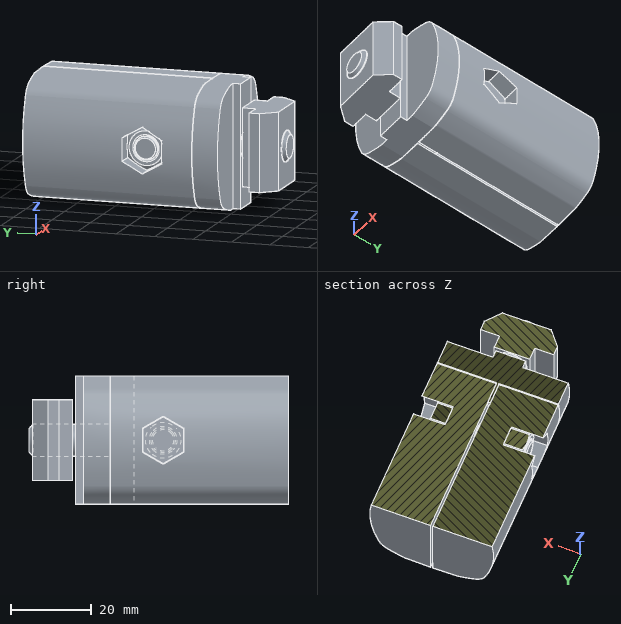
import cadquery as cq
import math

overall_length = 64.2

body_width = 33.0
body_height = 31.8
bulge_radius = 30.0
corner_radius = 5.0

shell_length = 44.0
shell_gap = 0.5
roof_slope_deg = 2.0
roof_blend_radius = 2.2

joint_gap = 0.1
base_thickness = 6.6
key_width = 8.0
key_depth = 2.0
tongue_length = 5.8

slot_nut_gap = 0.7
slot_nut_length = 9.95
slot_nut_height = 20.0
slot_nut_width = 19.6
slot_nut_neck_width = 9.5
slot_nut_neck_depth = 3.4
slot_nut_nose_width = 13.1
slot_nut_nose_depth = 3.9

mount_bolt_diameter = 7.95
mount_bolt_chamfer = 1.0

clamp_y = 13.1
clamp_bolt_diameter = 6.05
clamp_bolt_chamfer = 0.4
clamp_bolt_end = 13.55
pocket_flats = 10.3
pocket_floor = 7.85
hex_flats = 10.0
nut_height = 5.2
nut_face_diameter = 8.8
nut_chamfer_deg = 30.0
nut_countersink_diameter = 6.9
bolt_head_height = 4.0

shell_start = joint_gap
shell_end = shell_start + shell_length
key_face = -base_thickness - key_depth
slot_nut_back = key_face - slot_nut_gap
slot_nut_front = slot_nut_back - slot_nut_length
mount_bolt_tip = shell_end - overall_length


def y_bar(profile, y_start, y_end):
    """Bar along Y; `profile` draws its closed XZ outline on the given workplane."""
    return profile(cq.Workplane("XZ", origin=(0, y_end, 0))).extrude(y_end - y_start)


def envelope(y_start, y_end):
    """Bulged square bar between two Y stations."""
    apex = body_width / 2
    center_offset = bulge_radius - apex
    corner = (math.sqrt(2 * bulge_radius**2 - center_offset**2) - center_offset) / 2

    def outline(plane):
        return (
            plane.moveTo(corner, -corner)
            .threePointArc((apex, 0), (corner, corner))
            .threePointArc((0, apex), (-corner, corner))
            .threePointArc((-apex, 0), (-corner, -corner))
            .threePointArc((0, -apex), (corner, -corner))
            .close()
        )

    bar = y_bar(outline, y_start, y_end).edges("|Y").fillet(corner_radius)
    flats = y_bar(lambda plane: plane.rect(2 * body_width, body_height), y_start, y_end)
    return bar.intersect(flats)


def y_cylinder(diameter, y_start, y_end):
    """Cylinder on the Y axis."""
    return y_bar(lambda plane: plane.circle(diameter / 2), y_start, y_end)


def clamp_plane(x):
    """Workplane facing +X on the clamp bolt axis."""
    return cq.Workplane("YZ", origin=(x, clamp_y, 0))


def hex_prism(across_flats, x_start, x_end):
    """Hexagonal prism along X with corners up and down."""
    half_facet_deg = 30
    across_corners = across_flats / math.cos(math.radians(half_facet_deg))
    prism = clamp_plane(x_start).polygon(6, across_corners).extrude(x_end - x_start)
    return prism.rotate((0, clamp_y, 0), (1, clamp_y, 0), half_facet_deg)


def make_right_shell():
    """Shell half on the +X side."""
    inner_x = shell_gap / 2
    outer_x = body_width
    top = body_height / 2
    outer_top = top - (outer_x - inner_x) * math.tan(math.radians(roof_slope_deg))

    def half_section(plane):
        return plane.polyline(
            [(inner_x, -top), (outer_x, -outer_top), (outer_x, outer_top), (inner_x, top)]
        ).close()

    shell = envelope(shell_start, shell_end).intersect(y_bar(half_section, shell_start, shell_end))
    ridges = shell.edges("|Y").filter(lambda edge: inner_x < edge.Center().x < body_width / 4)
    shell = ridges.fillet(roof_blend_radius)

    bolt_hole = clamp_plane(0).circle(clamp_bolt_diameter / 2).extrude(body_width)
    return shell.cut(bolt_hole).cut(hex_prism(pocket_flats, pocket_floor, body_width))


def make_base():
    """Base plate with the key, the tongue and the mounting bolt hole."""
    base = envelope(-base_thickness, 0)
    key = y_bar(lambda plane: plane.rect(key_width, body_height), key_face, -base_thickness)
    tongue = y_bar(lambda plane: plane.rect(shell_gap, body_height), 0, shell_start + tongue_length)
    bolt_hole = y_cylinder(mount_bolt_diameter, key_face, 0)
    return base.union(key).cut(bolt_hole).union(tongue)


def make_slot_nut():
    """T-shaped slot nut with a tapered nose and the mounting bolt hole."""
    shoulder_y = slot_nut_back - slot_nut_neck_depth
    taper_y = slot_nut_front + slot_nut_nose_depth
    half_outline = [
        (slot_nut_neck_width / 2, slot_nut_back),
        (slot_nut_neck_width / 2, shoulder_y),
        (slot_nut_width / 2, shoulder_y),
        (slot_nut_width / 2, taper_y),
        (slot_nut_nose_width / 2, slot_nut_front),
    ]
    mirrored_outline = [(-x, y) for x, y in reversed(half_outline)]
    block = (
        cq.Workplane("XY")
        .polyline(half_outline + mirrored_outline)
        .close()
        .extrude(slot_nut_height / 2, both=True)
    )
    return block.cut(y_cylinder(mount_bolt_diameter, slot_nut_front, slot_nut_back))


def make_mount_bolt():
    """Bolt along Y from the inner face of the base to its chamfered tip."""
    return y_cylinder(mount_bolt_diameter, mount_bolt_tip, 0).faces("<Y").chamfer(mount_bolt_chamfer)


def make_clamp_bolt():
    """Hex bolt along X with its head in the +X pocket and a chamfered end in the nut."""
    shank = (
        clamp_plane(-clamp_bolt_end)
        .circle(clamp_bolt_diameter / 2)
        .extrude(clamp_bolt_end + pocket_floor)
        .faces("<X")
        .chamfer(clamp_bolt_chamfer)
    )
    return shank.union(hex_prism(hex_flats, pocket_floor, pocket_floor + bolt_head_height))


def make_clamp_nut():
    """Hex nut in the -X pocket, with chamfered corners and a countersunk hole on its outer face."""
    face_x = -pocket_floor - nut_height
    face_radius = nut_face_diameter / 2
    hole_radius = clamp_bolt_diameter / 2
    countersink_radius = nut_countersink_diameter / 2
    countersink_depth = countersink_radius - hole_radius
    rim_radius = hex_flats
    rim_depth = (rim_radius - face_radius) * math.tan(math.radians(nut_chamfer_deg))

    turned = (
        cq.Workplane("XY", origin=(0, clamp_y, 0))
        .polyline(
            [
                (-pocket_floor, hole_radius),
                (face_x + countersink_depth, hole_radius),
                (face_x, countersink_radius),
                (face_x, face_radius),
                (face_x + rim_depth, rim_radius),
                (-pocket_floor, rim_radius),
            ]
        )
        .close()
        .revolve(360, (0, 0, 0), (1, 0, 0))
    )
    return hex_prism(hex_flats, face_x, -pocket_floor).intersect(turned)


right_shell = make_right_shell()
left_shell = right_shell.mirror("YZ")
base = make_base()
slot_nut = make_slot_nut()
mount_bolt = make_mount_bolt()
clamp_bolt = make_clamp_bolt()
clamp_nut = make_clamp_nut()

bodies = [right_shell, left_shell, base, slot_nut, mount_bolt, clamp_bolt, clamp_nut]
result = cq.Compound.makeCompound([body.solids().val() for body in bodies])